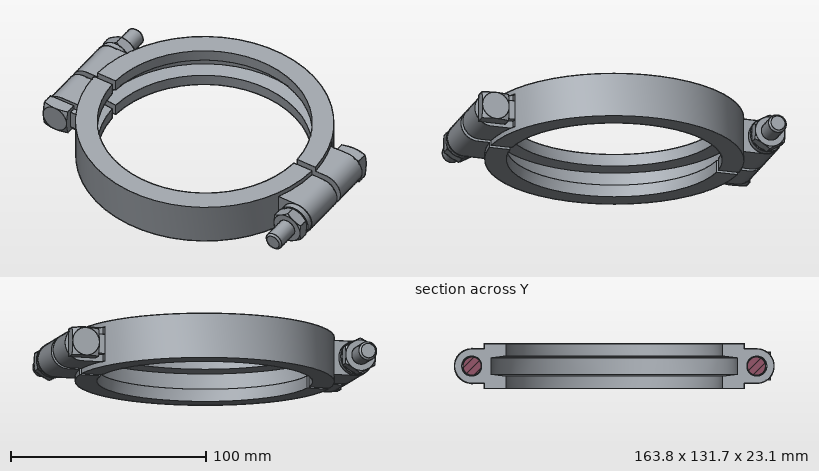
import cadquery as cq
import math


ring_height = 23.11
ring_outer_radius = 66.7
overall_depth = 131.7
ring_inner_radius = 55.56
split_gap = 3.175
center_offset = ring_outer_radius - overall_depth / 2
split_y = split_gap / 2

groove_mouth = 10.4
groove_depth = 7.7
groove_side_rise = 1.0

overall_width = 163.83
ear_radius = 8.89
bolt_x = overall_width / 2 - ear_radius
nut_ear_end = 25.1
head_seat = 22.0
bolt_hole_diameter = 10.29
tab_height = 10.08
ear_root_x = math.sqrt(ring_outer_radius**2 - (nut_ear_end + center_offset) ** 2)

bolt_inset = 0.2
bolt_axis_x = bolt_x - bolt_inset
bolt_diameter = 9.53
bolt_length = 69.85
bolt_tip_chamfer = 1.0
head_width = 14.29
head_height = 6.9
head_corner_drop = 1.2
washer_diameter = 17.46
washer_thickness = 3.175
nut_across_flats = 15.875
nut_thickness = 6.35
nut_corner_drop = 0.7


def rod(diameter, x, y_start, y_end):
    """Round bar along Y on the bolt level."""
    base = cq.Workplane("XZ", origin=(x, y_start, 0))
    return base.circle(diameter / 2).extrude(y_start - y_end)


def block(x_start, x_end, y_start, y_end, height):
    """Box between the given X and Y limits, centred on z = 0."""
    length = x_end - x_start
    depth = y_end - y_start
    return cq.Workplane("XY").box(length, depth, height).translate(
        ((x_start + x_end) / 2, (y_start + y_end) / 2, 0)
    )


def turned(shape):
    """Copy of a shape turned half a revolution about the Z axis."""
    return shape.rotate((0, 0, 0), (0, 0, 1), 180)


def ring_blank():
    """Full disc about the arc centre of the +Y half."""
    disc = cq.Workplane("XY").circle(ring_outer_radius).extrude(ring_height / 2, both=True)
    return disc.translate((0, -center_offset, 0))


def ring_interior():
    """Bore of the +Y half together with its tapered groove."""
    floor_radius = ring_inner_radius + groove_depth
    mouth_z = groove_mouth / 2
    floor_z = mouth_z - groove_side_rise
    profile = [
        (0, -ring_height / 2),
        (ring_inner_radius, -ring_height / 2),
        (ring_inner_radius, -mouth_z),
        (floor_radius, -floor_z),
        (floor_radius, floor_z),
        (ring_inner_radius, mouth_z),
        (ring_inner_radius, ring_height / 2),
        (0, ring_height / 2),
    ]
    interior = cq.Workplane("XZ").polyline(profile).close().revolve(360, (0, 0, 0), (0, 1, 0))
    return interior.translate((0, -center_offset, 0))


def ear(side):
    """Ear on the +X (side = 1) or -X (side = -1) end of the +Y half, rounded on the outside."""
    x_limits = sorted((side * ear_root_x, side * bolt_x))
    root = block(*x_limits, split_y, nut_ear_end, 2 * ear_radius)
    return root.union(rod(2 * ear_radius, side * bolt_x, split_y, nut_ear_end))


def head_recess():
    """Cut on the +X ear that seats the bolt head and leaves the anti-turn tab."""
    tab_end = bolt_axis_x - head_width / 2
    recess = block(ear_root_x, overall_width / 2, head_seat, nut_ear_end, 2 * ear_radius)
    tab = block(ear_root_x, tab_end, head_seat, nut_ear_end, tab_height)
    return recess.cut(tab)


def half_clamp():
    """The +Y half, with its nut ear on -X and its head ear on +X."""
    body = ring_blank().union(ear(-1)).union(ear(1))
    body = body.cut(ring_interior())
    half_width = overall_width / 2
    body = body.intersect(block(-half_width, half_width, split_y, overall_depth / 2, ring_height))
    body = body.cut(head_recess())
    for side in (-1, 1):
        body = body.cut(rod(bolt_hole_diameter, side * bolt_x, 0, nut_ear_end))
    return body


def corner_bevel(inscribed_radius, corner_radius, corner_drop, length):
    """Round envelope along Y whose +Y end slopes down to bevel the corners of a prism."""
    profile = [
        (0, 0),
        (corner_radius, 0),
        (corner_radius, length - corner_drop),
        (inscribed_radius, length),
        (0, length),
    ]
    return cq.Workplane("XY").polyline(profile).close().revolve(360, (0, 0, 0), (0, 1, 0))


def bolt_head():
    """Square head with its seat on y = 0, growing toward +Y and beveled on its outer face."""
    prism = cq.Workplane("XZ").rect(head_width, head_width).extrude(-head_height)
    corner_radius = head_width / math.sqrt(2)
    bevel = corner_bevel(head_width / 2, corner_radius, head_corner_drop, head_height)
    return prism.intersect(bevel)


def nut():
    """Hexagon nut from y = 0 toward +Y, with two corners in line with Z and both faces beveled."""
    corner_radius = nut_across_flats / math.sqrt(3)
    prism = cq.Workplane("XZ").polygon(6, 2 * corner_radius).extrude(-nut_thickness)
    prism = prism.rotate((0, 0, 0), (0, 1, 0), 30)
    bevel = corner_bevel(nut_across_flats / 2, corner_radius, nut_corner_drop, nut_thickness)
    opposite_bevel = turned(bevel).translate((0, nut_thickness, 0))
    return prism.intersect(bevel).intersect(opposite_bevel)


def bolt_set():
    """Bolt on the -X side with its head at -Y, and the washer and nut at +Y."""
    washer_end = nut_ear_end + washer_thickness
    bolt_tip = bolt_length - head_seat
    shank = rod(bolt_diameter, -bolt_axis_x, -head_seat, bolt_tip)
    shank = shank.faces(">Y").chamfer(bolt_tip_chamfer)
    head = turned(bolt_head()).translate((-bolt_axis_x, -head_seat, 0))
    washer = rod(washer_diameter, -bolt_axis_x, nut_ear_end, washer_end)
    return shank.union(head).union(washer).union(nut().translate((-bolt_axis_x, washer_end, 0)))


half = half_clamp()
bolt = bolt_set()
result = half.union(turned(half)).union(bolt).union(turned(bolt))